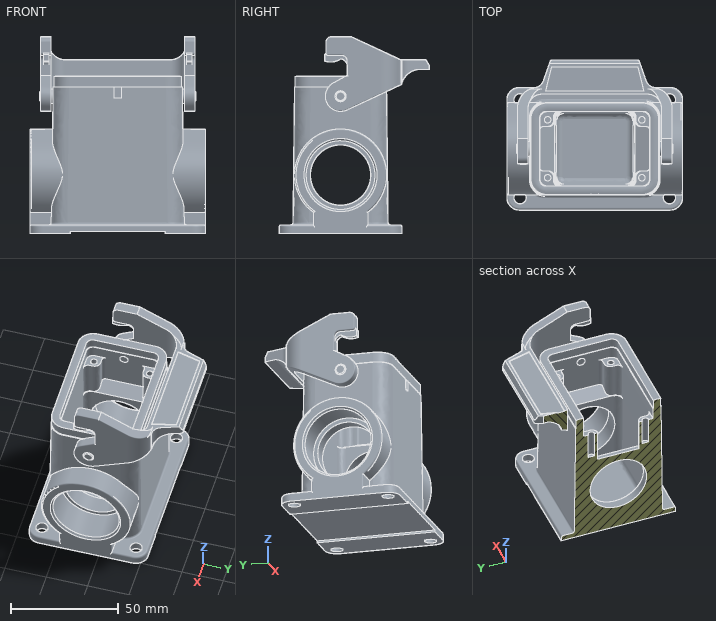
import cadquery as cq
import math

flange_length = 82.0
flange_width = 57.3
flange_height = 4.1
flange_corner_radius = 6.0
flange_edge_radius = 1.1
mount_hole_diameter = 5.6
mount_hole_x = 34.8
mount_hole_y = 22.8
foot_relief_length = 44.25
foot_relief_height = 0.9

tower_base_half_x = 31.0
tower_base_half_y = 22.2
tower_top_half_x = 30.1
tower_top_half_y = 21.5
tower_corner_radius = 7.6
tower_root_radius = 0.9
rim_bottom = 68.2
rim_crest = 73.4
rim_half_x = 29.7
rim_half_y = 21.3
rim_corner_radius = 7.3
rim_edge_drop = 0.32
key_slot_width = 3.5
key_slot_height = 5.0
key_slot_depth = 0.7

mouth_half_x = 25.7
mouth_half_y = 17.4
mouth_corner_radius = 3.2
lip_clearance = 0.2
post_top = 62.15
post_inner_x = 19.2
post_inner_y = 10.3
post_side_radius = 2.3
post_corner_radius = 2.9
pocket_corner_radius = 1.4
screw_hole_diameter = 3.0
screw_hole_depth = 13.8
screw_hole_x = 21.9
screw_hole_y = 13.5
ledge_high = 47.3
ledge_angle = 22.0
well_top = 44.1
well_half_x = 18.7
well_half_y = 16.9
well_corner_radius = 3.1
well_floor_half_x = 17.5
well_floor_half_y = 16.3
floor_height = 5.5
floor_fillet = 2.75

entry_height = 27.3
entry_outer_radius = 21.5
entry_edge_radius = 0.7
entry_bore_diameter = 32.0
entry_bore_end_x = 26.1
entry_hole_diameter = 28.0
entry_chamfer = 1.0
web_width = 25.3

pivot_height = 64.0
pivot_boss_diameter = 7.0
pin_diameter = 4.0
pin_button_diameter = 5.1
pin_button_height = 0.4
arm_inner_x = 31.0
arm_outer_x = 36.0
back_inner_y = 25.4
back_outer_y = 28.55
bend_inner_radius = 6.3
bend_outer_radius = 9.55
pivot_end_radius = 7.1
arm_slope = 25.0
arm_top = 91.8
arm_top_rear_y = 4.9
hook_front_y = -6.9
hook_underside = 83.0
hook_corner_radius = 2.75
hook_nose_radius = 1.1
notch_rear_y = 3.0
notch_bottom = 73.7
notch_corner_radius = 2.5
arm_edge_radius = 0.5

tooth_inner_x = 31.95
tooth_outer_x = 34.7
tooth_tip_y = -7.4
tooth_tip_bottom = 80.3
tooth_tip_top = 83.5
tooth_low_point = (-5.1, 79.9)
tooth_lining_mid = (2.1, 80.3)
tooth_lining_end = (0.2, 81.3)
tooth_lining_drop = 1.8
tooth_embed = 0.55

grip_top = 81.1
grip_bottom = 76.4
grip_tip_y = 41.4
grip_tip_half_x = 20.6
grip_root_half_x = 25.1
grip_tip_corner_radius = 1.1
grip_flare_radius = 4.6
grip_nose_height = 1.8
grip_nose_setback = 1.65
grip_root_y = 26.35
grip_arc_radius = 9.2
grip_arc_end_y = 35.8
grip_arc_bottom = 70.0
panel_front_y = 27.0
panel_rear_y = 38.2
panel_front_half_x = 22.9
panel_rear_half_x = 20.1
panel_depth = 0.4


def rounded_block(half_x, half_y, radius, bottom, top):
    """Straight block with round vertical corners."""
    outline = cq.Sketch().rect(2 * half_x, 2 * half_y).vertices().fillet(radius)
    return cq.Workplane("XY", origin=(0, 0, bottom)).placeSketch(outline).extrude(top - bottom)


def drafted_block(bottom_half, top_half, radius, bottom, top):
    """Block with round corners whose half sizes (x, y) change evenly from bottom to top."""
    lower = cq.Sketch().rect(2 * bottom_half[0], 2 * bottom_half[1]).vertices().fillet(radius)
    upper = cq.Sketch().rect(2 * top_half[0], 2 * top_half[1]).vertices().fillet(radius)
    raised = upper.moved(cq.Location(cq.Vector(0, 0, top - bottom)))
    return cq.Workplane("XY", origin=(0, 0, bottom)).placeSketch(lower, raised).loft()


def x_cylinder(diameter, x_start, x_end, height):
    """Cylinder along X, centred on Y = 0 at the given height."""
    plane = cq.Workplane("YZ", origin=(x_start, 0, height))
    return plane.circle(diameter / 2).extrude(x_end - x_start)


def mirrored_in_x(body):
    """The body together with its mirror image on the other side of X = 0."""
    return body.union(body.mirror("YZ"))


def make_flange():
    flange = rounded_block(flange_length / 2, flange_width / 2, flange_corner_radius, 0, flange_height)
    flange = flange.faces(">Z").edges().fillet(flange_edge_radius)
    relief = cq.Workplane("XY").box(
        foot_relief_length, flange_width, foot_relief_height, centered=(True, True, False)
    )
    return flange.cut(relief)


def make_mount_holes():
    return (
        cq.Workplane("XY")
        .rect(2 * mount_hole_x, 2 * mount_hole_y, forConstruction=True)
        .vertices()
        .circle(mount_hole_diameter / 2)
        .extrude(2 * flange_height)
    )


def make_tower():
    return drafted_block(
        (tower_base_half_x, tower_base_half_y),
        (tower_top_half_x, tower_top_half_y),
        tower_corner_radius,
        flange_height,
        rim_bottom,
    )


def make_rim():
    """Lip on the tower with a gently crowned top, swept around the mouth."""
    wall = rim_half_x - mouth_half_x
    edge_height = rim_crest - rim_edge_drop
    path_half_x = rim_half_x - wall / 2
    path_half_y = rim_half_y - wall / 2
    path_block = rounded_block(path_half_x, path_half_y, rim_corner_radius - wall / 2, rim_bottom, rim_crest)
    path = path_block.faces("<Z").wires()
    section = (
        cq.Workplane("XZ", origin=(path_half_x, 0, rim_bottom))
        .moveTo(-wall / 2, 0)
        .lineTo(wall / 2, 0)
        .lineTo(wall / 2, edge_height - rim_bottom)
        .threePointArc((0, rim_crest - rim_bottom), (-wall / 2, edge_height - rim_bottom))
        .close()
    )
    return section.sweep(path)


def make_entries():
    """Round cable entries with a web down to the flange, both ends in one bar."""
    half_length = flange_length / 2
    bar = x_cylinder(2 * entry_outer_radius, -half_length, half_length, entry_height)
    web = cq.Workplane("XY").box(
        flange_length, web_width, entry_height - flange_height / 2, centered=(True, True, False)
    ).translate((0, 0, flange_height / 2))
    return bar.union(web).faces("<X or >X").edges("not(<Z)").fillet(entry_edge_radius)


def make_entry_bores():
    half_length = flange_length / 2
    through = x_cylinder(entry_hole_diameter, -half_length, half_length, entry_height)
    bore = x_cylinder(entry_bore_diameter, entry_bore_end_x, half_length, entry_height)
    countersink = (
        cq.Workplane("YZ", origin=(half_length, 0, entry_height))
        .circle(entry_bore_diameter / 2 + entry_chamfer)
        .extrude(-entry_chamfer, taper=45)
    )
    return through.union(mirrored_in_x(bore.union(countersink)))


def make_cavity():
    """Mouth, throat, space between the four screw posts, and the well below them."""
    mouth = rounded_block(mouth_half_x, mouth_half_y, mouth_corner_radius, rim_bottom, rim_crest)
    throat = rounded_block(
        mouth_half_x - lip_clearance,
        mouth_half_y - lip_clearance,
        mouth_corner_radius,
        post_top,
        rim_bottom,
    )
    well_half = (well_half_x, well_half_y)
    between_posts = drafted_block(
        well_half,
        (post_inner_x, mouth_half_y - lip_clearance),
        post_side_radius,
        well_top,
        post_top,
    )
    pocket = rounded_block(
        mouth_half_x - lip_clearance, post_inner_y, pocket_corner_radius, well_top, post_top
    )
    between_posts = between_posts.union(pocket)
    post_corners = cq.selectors.BoxSelector(
        (-post_inner_x - 0.9, -post_inner_y - 0.9, well_top + 0.9),
        (post_inner_x + 0.9, post_inner_y + 0.9, post_top - 0.9),
    )
    between_posts = between_posts.edges(post_corners).fillet(post_corner_radius)
    between_posts = between_posts.cut(make_ledges())
    well = drafted_block(
        (well_floor_half_x, well_floor_half_y), well_half, well_corner_radius, floor_height, well_top
    )
    well = well.faces("<Z").edges().fillet(floor_fillet)
    return mouth.union(throat).union(between_posts).union(well)


def make_ledges():
    """Solid under the sloping ledge that closes each end pocket above the entries."""
    ledge_low = ledge_high - (mouth_half_x - well_half_x) * math.tan(math.radians(ledge_angle))
    wedge = (
        cq.Workplane("XZ", origin=(0, mouth_half_y, 0))
        .polyline(
            [
                (well_half_x, well_top),
                (well_half_x, ledge_low),
                (mouth_half_x, ledge_high),
                (mouth_half_x, well_top),
            ]
        )
        .close()
        .extrude(2 * mouth_half_y)
    )
    return mirrored_in_x(wedge)


def make_screw_holes():
    return (
        cq.Workplane("XY", origin=(0, 0, post_top))
        .rect(2 * screw_hole_x, 2 * screw_hole_y, forConstruction=True)
        .vertices()
        .circle(screw_hole_diameter / 2)
        .extrude(-screw_hole_depth)
    )


def make_key_slot():
    """Shallow slot in the -Y wall just below the rim."""
    return cq.Workplane("XY").box(key_slot_width, 2 * key_slot_depth, key_slot_height).translate(
        (0, -rim_half_y, rim_bottom - key_slot_height / 2)
    )


def make_base():
    """Flange and tower joined by a small root fillet."""
    base = make_flange().union(make_tower())
    root_edges = cq.selectors.BoxSelector(
        (-tower_base_half_x - 0.9, -tower_base_half_y - 0.9, flange_height - 0.1),
        (tower_base_half_x + 0.9, tower_base_half_y + 0.9, flange_height + 0.1),
    )
    return base.edges(root_edges).fillet(tower_root_radius)


def make_housing():
    body = make_base().union(make_entries())
    body = body.union(make_rim())
    body = body.union(x_cylinder(pivot_boss_diameter, -arm_inner_x, arm_inner_x, pivot_height))
    for cutter in (
        make_cavity(),
        make_entry_bores(),
        make_mount_holes(),
        make_screw_holes(),
        make_key_slot(),
        x_cylinder(pin_diameter, -arm_inner_x, arm_inner_x, pivot_height),
    ):
        body = body.cut(cutter)
    return body


def around_pivot(angle):
    """Point (y, z) on the round lower end of an arm, angle in radians from +Y."""
    return (pivot_end_radius * math.cos(angle), pivot_height + pivot_end_radius * math.sin(angle))


def make_arm_profile():
    """Side outline of the lever, extruded across its whole width."""
    slope = math.radians(arm_slope)
    notch_rise = notch_bottom - pivot_height
    notch_distance = math.hypot(notch_rear_y, notch_rise)
    front_angle = math.atan2(notch_rise, notch_rear_y) + math.acos(pivot_end_radius / notch_distance)
    lower_angle = slope - math.pi / 2
    lower_tangent = around_pivot(lower_angle)
    rear_bottom = lower_tangent[1] + (back_outer_y - lower_tangent[0]) * math.tan(slope)
    slope_end_y = arm_top_rear_y + (arm_top - grip_top) / math.tan(slope)
    profile = (
        cq.Workplane("YZ", origin=(-arm_outer_x, 0, 0))
        .moveTo(arm_top_rear_y, arm_top)
        .lineTo(hook_front_y + hook_corner_radius, arm_top)
        .radiusArc((hook_front_y, arm_top - hook_corner_radius), -hook_corner_radius)
        .lineTo(hook_front_y, hook_underside + hook_nose_radius)
        .radiusArc((hook_front_y + hook_nose_radius, hook_underside), -hook_nose_radius)
        .lineTo(notch_rear_y - notch_corner_radius, hook_underside)
        .radiusArc((notch_rear_y, hook_underside - notch_corner_radius), notch_corner_radius)
        .lineTo(notch_rear_y, notch_bottom)
        .lineTo(*around_pivot(front_angle))
        .threePointArc(around_pivot(math.pi), lower_tangent)
        .lineTo(back_outer_y, rear_bottom)
        .lineTo(back_outer_y, grip_top)
        .lineTo(slope_end_y, grip_top)
        .close()
    )
    return profile.extrude(2 * arm_outer_x)


def make_yoke():
    """U-shaped plan of the two arms and the back, cut to the side outline and scooped over the back."""
    front_y = -pivot_end_radius
    outer = cq.Workplane("XY").box(
        2 * arm_outer_x, back_outer_y - front_y, arm_top, centered=(True, False, False)
    )
    outer = outer.translate((0, front_y, 0)).edges("|Z and >Y").fillet(bend_outer_radius)
    inner = cq.Workplane("XY").box(
        2 * arm_inner_x, back_inner_y - front_y, arm_top, centered=(True, False, False)
    )
    inner = inner.translate((0, front_y, 0)).edges("|Z and >Y").fillet(bend_inner_radius)
    return outer.cut(inner).intersect(make_arm_profile()).cut(make_back_scoop())


def make_back_scoop():
    """Clearance that levels the top of the back and curves up into both arms."""
    flat_half_x = arm_inner_x - bend_inner_radius
    scoop_front_y = back_inner_y - bend_inner_radius
    rise_end = arm_top - (scoop_front_y - arm_top_rear_y) * math.tan(math.radians(arm_slope))
    rise = rise_end - grip_top
    scoop_radius = (bend_inner_radius**2 + rise**2) / (2 * rise)
    return (
        cq.Workplane("XZ", origin=(0, back_outer_y, 0))
        .moveTo(-flat_half_x, grip_top)
        .lineTo(flat_half_x, grip_top)
        .radiusArc((arm_inner_x, rise_end), -scoop_radius)
        .lineTo(arm_inner_x, arm_top)
        .lineTo(-arm_inner_x, arm_top)
        .lineTo(-arm_inner_x, rise_end)
        .radiusArc((-flat_half_x, grip_top), -scoop_radius)
        .close()
        .extrude(back_outer_y - scoop_front_y)
    )


def make_grip():
    """Thumb grip and the shallow panel recess to cut from its top."""
    root_half_x = grip_root_half_x + 0.8 * grip_flare_radius
    plan = (
        cq.Workplane("XY")
        .polyline(
            [
                (-root_half_x, grip_root_y),
                (-root_half_x, back_outer_y),
                (-grip_root_half_x, back_outer_y),
                (-grip_tip_half_x, grip_tip_y),
                (grip_tip_half_x, grip_tip_y),
                (grip_root_half_x, back_outer_y),
                (root_half_x, back_outer_y),
                (root_half_x, grip_root_y),
            ]
        )
        .close()
        .extrude(arm_top)
    )
    flare_edges = cq.selectors.BoxSelector(
        (-root_half_x + 0.9, back_outer_y - 0.9, 0), (root_half_x - 0.9, back_outer_y + 0.9, arm_top)
    )
    plan = plan.edges("|Z").edges(flare_edges).fillet(grip_flare_radius)
    plan = plan.edges("|Z and >Y").fillet(grip_tip_corner_radius)
    side = (
        cq.Workplane("YZ", origin=(-arm_outer_x, 0, 0))
        .moveTo(grip_root_y, grip_top)
        .lineTo(grip_tip_y - grip_nose_setback, grip_top)
        .lineTo(grip_tip_y, grip_bottom + grip_nose_height)
        .lineTo(grip_tip_y, grip_bottom)
        .lineTo(grip_arc_end_y, grip_bottom)
        .radiusArc((back_outer_y, grip_arc_bottom), -grip_arc_radius)
        .lineTo(grip_root_y, grip_arc_bottom)
        .close()
        .extrude(2 * arm_outer_x)
    )
    panel = (
        cq.Workplane("XY", origin=(0, 0, grip_top))
        .polyline(
            [
                (-panel_front_half_x, panel_front_y),
                (-panel_rear_half_x, panel_rear_y),
                (panel_rear_half_x, panel_rear_y),
                (panel_front_half_x, panel_front_y),
            ]
        )
        .close()
        .extrude(-panel_depth)
    )
    return plan.intersect(side), panel


def make_tooth():
    """Small latch tooth lining the notch below the hook of the +X arm."""
    notch_arc_z = hook_underside - notch_corner_radius
    return (
        cq.Workplane("YZ", origin=(tooth_inner_x, 0, 0))
        .moveTo(notch_rear_y, notch_arc_z - tooth_lining_drop)
        .threePointArc(tooth_lining_mid, tooth_lining_end)
        .spline([tooth_low_point, (tooth_tip_y, tooth_tip_bottom)], includeCurrent=True)
        .lineTo(tooth_tip_y, tooth_tip_top)
        .lineTo(hook_front_y, hook_underside + hook_nose_radius)
        .lineTo(notch_rear_y + tooth_embed, hook_underside + hook_nose_radius)
        .lineTo(notch_rear_y + tooth_embed, notch_arc_z - tooth_lining_drop)
        .close()
        .extrude(tooth_outer_x - tooth_inner_x)
    )


def make_pivot_pin():
    """Pin of the +X arm, from the tower's inner wall to a bevelled button outside."""
    pin = x_cylinder(pin_diameter, mouth_half_x - lip_clearance, arm_outer_x, pivot_height)
    button = (
        cq.Workplane("YZ", origin=(arm_outer_x, 0, pivot_height))
        .circle(pin_button_diameter / 2)
        .workplane(offset=pin_button_height)
        .circle(pin_diameter / 2)
        .loft()
    )
    return pin.union(button)


def make_lever():
    yoke = make_yoke()
    yoke = yoke.faces("<X or >X").edges().fillet(arm_edge_radius)
    grip, panel = make_grip()
    lever = yoke.union(grip).cut(panel)
    return lever.union(mirrored_in_x(make_tooth().union(make_pivot_pin())))


housing = make_housing()
lever = make_lever()

result = cq.Compound.makeCompound([housing.val(), lever.val()])